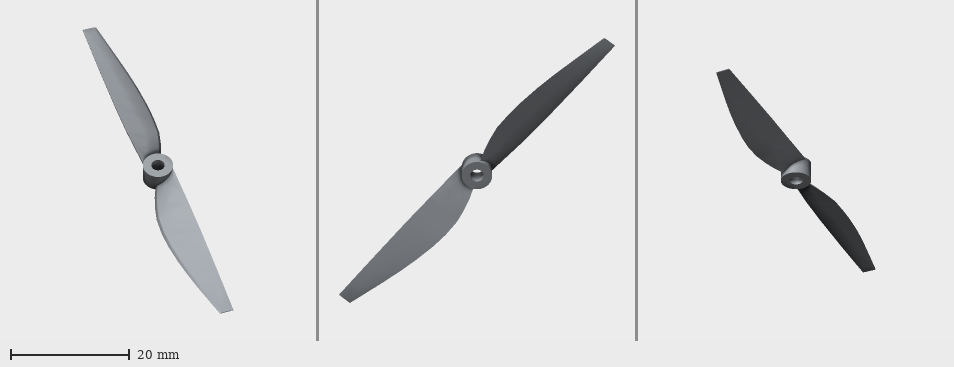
import cadquery as cq

HUB_RADIUS = 2.55
HUB_HEIGHT = 3.35
BORE_RADIUS = 1.1

SPAN = 65.8
TIP_X = -SPAN / 2
BEVEL_WIDTH = 0.4
ROOT_THICKNESS = 0.4
TIP_THICKNESS = 0.1

JOINT_STATION = (-9.0, 3.1, -1.3, -2.6, 0.65)
ROOT_STATIONS = [
    (-1.3, 0.65, -1.05, -2.25, 1.2),
    (-3.6, 1.7, -1.25, -2.4, 1.05),
    (-5.9, 2.45, -1.3, -2.5, 0.85),
    JOINT_STATION,
]
OUTER_STATIONS = [
    JOINT_STATION,
    (-12.5, 3.15, -1.4, -2.75, 0.6),
    (-17.1, 2.75, -1.1, -2.8, 0.45),
    (-25.0, 1.3, -0.5, -2.9, 0.4),
    (TIP_X, -0.5, 0.25, -2.9, 0.3),
]


def thickness_at(x):
    """Vertical blade thickness, tapering linearly from the axis to the tip."""
    return ROOT_THICKNESS + (TIP_THICKNESS - ROOT_THICKNESS) * x / TIP_X


def section_corners(x, curved_y, curved_z, straight_y, straight_z):
    """Section corners: a sharp bevelled curved edge and a blunt straight edge."""
    thickness = thickness_at(x)
    slope = (straight_z - curved_z) / (curved_y - straight_y)
    bevel_y = curved_y - BEVEL_WIDTH
    bevel_z = curved_z + slope * BEVEL_WIDTH + thickness
    return [
        cq.Vector(x, curved_y, curved_z),
        cq.Vector(x, bevel_y, bevel_z),
        cq.Vector(x, straight_y, straight_z + thickness),
        cq.Vector(x, straight_y, straight_z),
    ]


def blade_segment(stations):
    """Solid whose long edges are splines through the corners of the given stations."""
    sections = [section_corners(*station) for station in stations]
    long_edges = [cq.Edge.makeSpline(list(corners)) for corners in zip(*sections)]
    next_edges = long_edges[1:] + long_edges[:1]
    faces = [cq.Face.makeRuledSurface(*pair) for pair in zip(long_edges, next_edges)]
    for end_section in (sections[0], sections[-1]):
        faces.append(cq.Face.makeFromWires(cq.Wire.makePolygon(end_section, close=True)))
    solid = cq.Solid.makeSolid(cq.Shell.makeShell(faces))
    return cq.Workplane(obj=solid.fix())


def make_blade():
    """Twisted left blade: a root segment from inside the hub wall and an outer segment."""
    root = blade_segment(ROOT_STATIONS)
    outer = blade_segment(OUTER_STATIONS)
    return root.union(outer)


hub = cq.Workplane("XY").circle(HUB_RADIUS).extrude(HUB_HEIGHT / 2, both=True)
bore = cq.Workplane("XY").circle(BORE_RADIUS).extrude(HUB_HEIGHT, both=True)

left_blade = make_blade()
right_blade = left_blade.rotate((0, 0, 0), (0, 0, 1), 180)

result = hub.union(left_blade).union(right_blade).cut(bore)